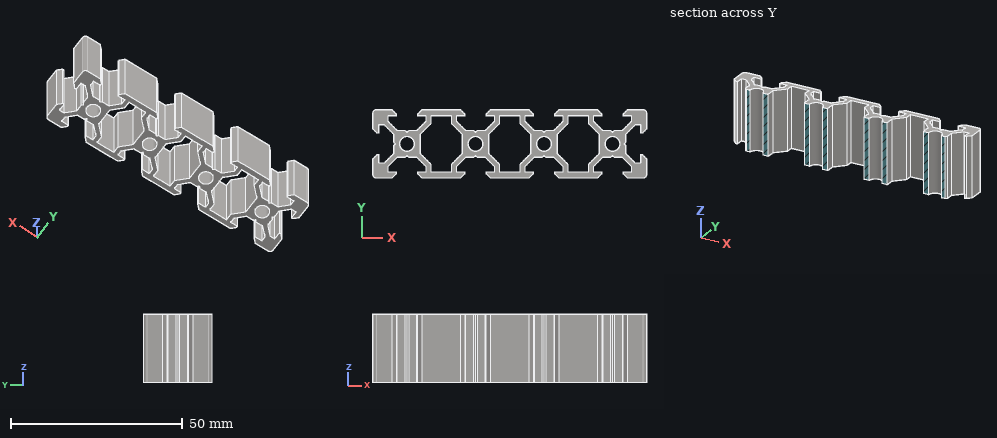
import cadquery as cq
import math

CELL = 20.0
CELL_COUNT = 4
LENGTH = 20.0
CORNER_RADIUS = 1.0
BORE_DIAMETER = 4.2
CORE_WIDTH = 7.8
WEB_THICKNESS = 1.5
WALL_THICKNESS = 1.5

LIP_SPAN = 16.4
SLOT_OPENING = 6.2
LIP_CHAMFER = 1.3
CAVITY_WIDTH = 11.0
GROOVE_WIDTH = 1.0
GROOVE_DEPTH = 0.5

HALF_CELL = CELL / 2
HALF_CORE = CORE_WIDTH / 2
HALF_CAVITY = CAVITY_WIDTH / 2
HALF_OPENING = SLOT_OPENING / 2
HALF_GROOVE = GROOVE_WIDTH / 2
LIP_INNER = LIP_SPAN / 2
WEB_OFFSET = WEB_THICKNESS / math.sqrt(2)
CELL_CENTRES = [(i - (CELL_COUNT - 1) / 2) * CELL for i in range(CELL_COUNT)]


def with_mirror_in_x(right_side):
    """Points followed by their mirror images across the Y axis, in path order."""
    return right_side + [(-x, y) for x, y in reversed(right_side)]


def prism(points):
    """Closed outline extruded over the full length."""
    return cq.Workplane("XY").polyline(points).close().extrude(LENGTH)


def t_slot():
    """Slot cutter for the +Y side of a cell centred on the origin."""
    right_side = [
        (HALF_GROOVE, HALF_CORE),
        (HALF_CORE - WEB_OFFSET, HALF_CORE),
        (HALF_CAVITY, HALF_CAVITY + WEB_OFFSET),
        (HALF_CAVITY, LIP_INNER),
        (HALF_OPENING, LIP_INNER),
        (HALF_OPENING, HALF_CELL - LIP_CHAMFER),
        (HALF_OPENING + LIP_CHAMFER, HALF_CELL),
    ]
    groove_tip = (0, HALF_CORE - GROOVE_DEPTH)
    return prism([groove_tip] + with_mirror_in_x(right_side))


def chamber():
    """Cutter for the hollow between two cells, centred on their shared boundary."""
    core_x = HALF_CELL - HALF_CORE
    wall_x = HALF_CELL - HALF_CAVITY - WALL_THICKNESS
    upper_right = [
        (core_x, HALF_CORE - WEB_OFFSET),
        (wall_x, HALF_CELL - wall_x - WEB_OFFSET),
        (wall_x, LIP_INNER),
    ]
    upper_half = with_mirror_in_x(upper_right)
    lower_half = [(-x, -y) for x, y in upper_half]
    return prism(upper_half + lower_half)


result = cq.Workplane("XY").box(CELL * CELL_COUNT, CELL, LENGTH, centered=(True, True, False))
result = result.edges("|Z").fillet(CORNER_RADIUS)

bore_points = [(x, 0) for x in CELL_CENTRES]
bores = cq.Workplane("XY").pushPoints(bore_points).circle(BORE_DIAMETER / 2).extrude(LENGTH)
result = result.cut(bores)

slot_places = [(x, angle) for x in CELL_CENTRES for angle in (0, 180)]
slot_places += [(CELL_CENTRES[0], 90), (CELL_CENTRES[-1], -90)]
for x, angle in slot_places:
    slot = t_slot().rotate((0, 0, 0), (0, 0, 1), angle).translate((x, 0, 0))
    result = result.cut(slot)

for x in CELL_CENTRES[:-1]:
    result = result.cut(chamber().translate((x + HALF_CELL, 0, 0)))